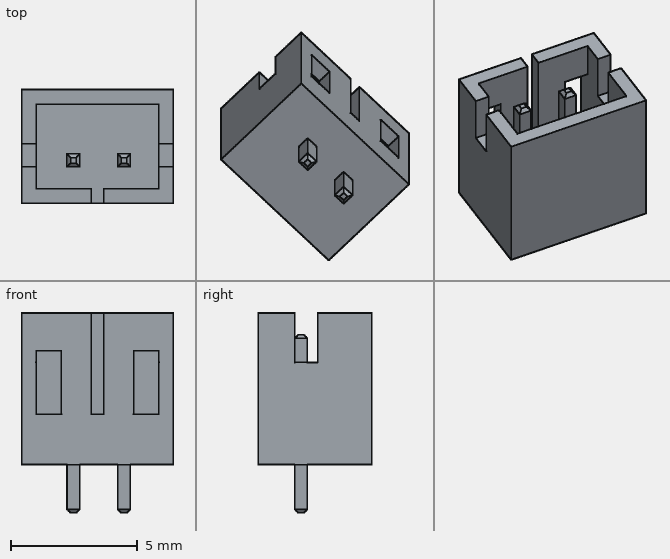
import cadquery as cq

width = 6.0
depth = 4.5
height = 6.0
wall = 0.58
cavity_width = width - 2 * wall
cavity_depth = depth - 2 * wall
floor_z = 2.0

key_slot_width = 0.48
window_width = 1.0
window_height = 2.5
notch_front_y = 1.455
notch_width = 0.89
notch_depth = 1.95

pin_size = 0.51
pin_tip_size = 0.22
pin_taper = 0.15
pin_pitch = 2.0
pin_shift_x = 0.05
pin_y = 1.7
pin_bottom_z = -1.91
pin_top_z = 5.14


def box(x_size, y_size, z_size, x_centre, y_front, z_bottom):
    """Box centred on x_centre, rising from its front and bottom faces."""
    block = cq.Workplane("XY").box(x_size, y_size, z_size, centered=(True, False, False))
    return block.translate((x_centre, y_front, z_bottom))


def pin_end(z_tip, direction):
    """Tapered pin end; direction is +1 for the top and -1 for the bottom."""
    return (
        cq.Workplane("XY", origin=(0, 0, z_tip - direction * pin_taper))
        .rect(pin_size, pin_size)
        .workplane(offset=direction * pin_taper)
        .rect(pin_tip_size, pin_tip_size)
        .loft(ruled=True)
    )


def make_pin(x_centre):
    shank_bottom = pin_bottom_z + pin_taper
    shank_length = pin_top_z - pin_taper - shank_bottom
    pin = box(pin_size, pin_size, shank_length, 0, -pin_size / 2, shank_bottom)
    pin = pin.union(pin_end(pin_top_z, 1)).union(pin_end(pin_bottom_z, -1))
    return pin.translate((x_centre, pin_y, 0))


def make_housing():
    above_floor = height - floor_z
    housing = box(width, depth, height, 0, 0, 0)
    housing = housing.cut(box(cavity_width, cavity_depth, above_floor, 0, wall, floor_z))

    housing = housing.cut(box(key_slot_width, wall, above_floor, 0, 0, floor_z))

    window_x = (cavity_width - window_width) / 2
    for side in (-1, 1):
        housing = housing.cut(box(window_width, wall, window_height, side * window_x, 0, floor_z))

    return housing.cut(box(width, notch_width, notch_depth, 0, notch_front_y, height - notch_depth))


result = make_housing()
for side in (-1, 1):
    result = result.union(make_pin(pin_shift_x + side * pin_pitch / 2))